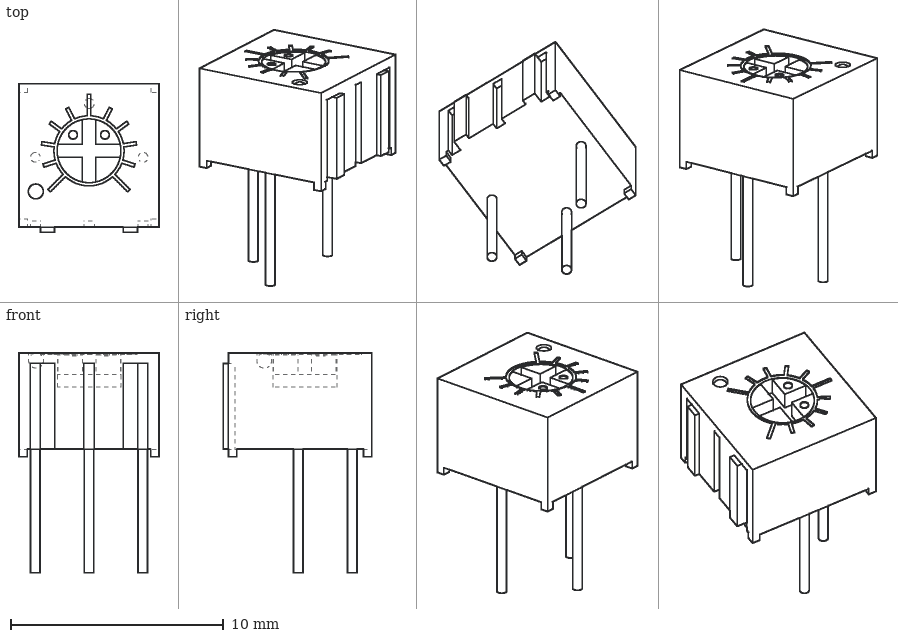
import cadquery as cq

HOUSING_WIDTH = 6.6
HOUSING_DEPTH = 6.75
HOUSING_HEIGHT = 4.52
FRONT_Y = -HOUSING_DEPTH / 2
OVERALL_DEPTH = 6.99
OVERALL_HEIGHT = 10.34

FOOT_SIZE = 0.4
FOOT_HEIGHT = 0.37

PIN_DIAMETER = 0.46
PIN_PITCH = 2.53
OUTER_PIN_Y = -0.08
PIN_LENGTH = OVERALL_HEIGHT - HOUSING_HEIGHT
PIN_CENTERS = [
    (-PIN_PITCH, OUTER_PIN_Y),
    (0, OUTER_PIN_Y + PIN_PITCH),
    (PIN_PITCH, OUTER_PIN_Y),
]

GROOVE_WIDTH = 0.48
GROOVE_DEPTH = 0.3
RIB_WIDTH = 0.68
RIB_DEPTH = OVERALL_DEPTH - HOUSING_DEPTH
FRONT_DETAIL_TOP = -0.49
FRONT_DETAIL_HEIGHT = HOUSING_HEIGHT + FRONT_DETAIL_TOP
RIB_X = PIN_PITCH - GROOVE_WIDTH / 2 - RIB_WIDTH / 2

DIAL_Y = 0.215
DIAL_DEPTH = 0.05
RING_DIAMETER = 3.3
TICK_WIDTH = 0.16
TICK_STEP = 27
TICKS_PER_SIDE = 5
LONG_TICK_REACH = 2.65
SHORT_TICK_REACH = 2.25

ROTOR_DIAMETER = 3.0
SLOT_WIDTH = 0.63
SLOT_DEPTH = 0.9
ROTOR_FLOOR = 0.6
ROTOR_HEIGHT = SLOT_DEPTH + ROTOR_FLOOR
ROTOR_TOP = -0.09
ROTOR_BOTTOM = ROTOR_TOP - ROTOR_HEIGHT
DIMPLE_DIAMETER = 0.4
DIMPLE_DEPTH = 0.05
DIMPLE_OFFSET = 0.75

BALL_DIAMETER = 0.7
BALL_RADIUS = BALL_DIAMETER / 2
BALL_X = -2.5
BALL_Y = -1.695
BALL_CENTER = (BALL_X, BALL_Y, -BALL_RADIUS)


def block(width, depth, height, x, y, bottom):
    """Box centred on (x, y), standing on the level bottom."""
    box = cq.Workplane("XY").box(width, depth, height, centered=(True, True, False))
    return box.translate((x, y, bottom))


def cylinder(diameter, height, x, y, bottom):
    """Upright cylinder centred on (x, y), standing on the level bottom."""
    return cq.Workplane("XY").circle(diameter / 2).extrude(height).translate((x, y, bottom))


def make_ball():
    return cq.Workplane("XY").sphere(BALL_RADIUS).translate(BALL_CENTER)


def make_feet():
    feet_x = (HOUSING_WIDTH - FOOT_SIZE) / 2
    feet_y = (HOUSING_DEPTH - FOOT_SIZE) / 2
    corners = [(x, y) for x in (-feet_x, feet_x) for y in (-feet_y, feet_y)]
    feet = cq.Workplane("XY").pushPoints(corners).rect(FOOT_SIZE, FOOT_SIZE).extrude(-FOOT_HEIGHT)
    return feet.translate((0, 0, -HOUSING_HEIGHT))


def make_dial_cutter():
    """Shallow ring recess with ticks; the middle and end ticks are long."""
    dial = cylinder(RING_DIAMETER, DIAL_DEPTH, 0, 0, -DIAL_DEPTH)
    for step in range(-TICKS_PER_SIDE, TICKS_PER_SIDE + 1):
        reach = LONG_TICK_REACH if step % TICKS_PER_SIDE == 0 else SHORT_TICK_REACH
        tick = block(TICK_WIDTH, reach, DIAL_DEPTH, 0, reach / 2, -DIAL_DEPTH)
        dial = dial.union(tick.rotate((0, 0, 0), (0, 0, 1), step * TICK_STEP))
    return dial.translate((0, DIAL_Y, 0))


def make_housing():
    housing = block(HOUSING_WIDTH, HOUSING_DEPTH, HOUSING_HEIGHT, 0, 0, -HOUSING_HEIGHT)
    housing = housing.union(make_feet())

    for x in (-RIB_X, RIB_X):
        rib_y = FRONT_Y - RIB_DEPTH / 2
        rib = block(RIB_WIDTH, RIB_DEPTH, FRONT_DETAIL_HEIGHT, x, rib_y, -HOUSING_HEIGHT)
        housing = housing.union(rib)

    for x, _ in PIN_CENTERS:
        groove_y = FRONT_Y + GROOVE_DEPTH / 2
        groove = block(GROOVE_WIDTH, GROOVE_DEPTH, FRONT_DETAIL_HEIGHT, x, groove_y, -HOUSING_HEIGHT)
        housing = housing.cut(groove)

    housing = housing.cut(make_dial_cutter())
    housing = housing.cut(cylinder(ROTOR_DIAMETER, -ROTOR_BOTTOM, 0, DIAL_Y, ROTOR_BOTTOM))

    housing = housing.cut(cylinder(BALL_DIAMETER, BALL_RADIUS, BALL_X, BALL_Y, -BALL_RADIUS))
    return housing.cut(make_ball())


def make_rotor():
    rotor = cylinder(ROTOR_DIAMETER, ROTOR_HEIGHT, 0, 0, -ROTOR_HEIGHT)

    for angle in (0, 90):
        slot = block(ROTOR_DIAMETER, SLOT_WIDTH, SLOT_DEPTH, 0, 0, -SLOT_DEPTH)
        rotor = rotor.cut(slot.rotate((0, 0, 0), (0, 0, 1), angle))

    for x in (-DIMPLE_OFFSET, DIMPLE_OFFSET):
        rotor = rotor.cut(cylinder(DIMPLE_DIAMETER, DIMPLE_DEPTH, x, DIMPLE_OFFSET, -DIMPLE_DEPTH))
    return rotor.translate((0, DIAL_Y, ROTOR_TOP))


def make_pin(x, y):
    return cylinder(PIN_DIAMETER, PIN_LENGTH, x, y, -OVERALL_HEIGHT)


housing = make_housing()
rotor = make_rotor()
ball = make_ball()
pins = [make_pin(x, y) for x, y in PIN_CENTERS]

result = cq.Compound.makeCompound(
    [housing.val(), rotor.val(), ball.val(), *[pin.val() for pin in pins]]
)